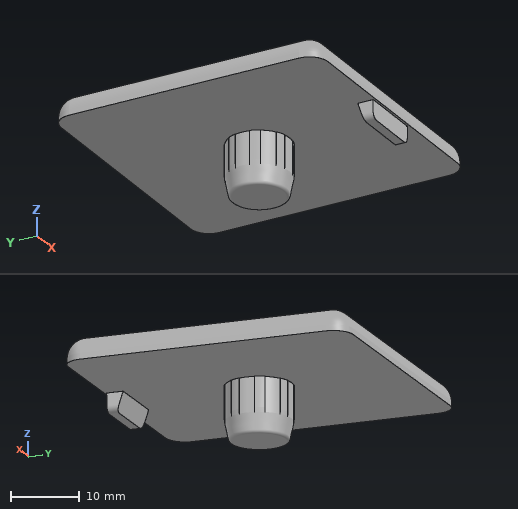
import cadquery as cq

PLATE_SIDE = 45.0
PLATE_THICKNESS = 4.0
PLATE_ROUNDING = 3.1

PLUG_RADIUS = 5.1
PLUG_LENGTH = 8.5
PLUG_STRAIGHT_LENGTH = 5.5
PLUG_TIP_RADIUS = 4.5
TIP_ROUNDING = 0.55

RIB_COUNT = 8
RIB_WIDTH = 1.6
RIB_HEIGHT = 0.08
RIB_LEAD_IN = 0.7
RIB_START_ANGLE = 360 / RIB_COUNT / 2
RIB_STRIP_DEPTH = 1.0

TAB_WIDTH = 2 * PLUG_RADIUS
TAB_HEIGHT = 3.0
TAB_EDGE_INSET = 0.4
TAB_ROOT_THICKNESS = 2.6
TAB_TIP_THICKNESS = 1.6
TAB_CORNER_RADIUS = 1.0


def make_plate():
    return (
        cq.Workplane("XY")
        .rect(PLATE_SIDE, PLATE_SIDE)
        .extrude(PLATE_THICKNESS)
        .edges("|Z or >Z")
        .fillet(PLATE_ROUNDING)
    )


def make_plug():
    """Revolve the half section, drawn on the -Y side, about Z."""
    return (
        cq.Workplane("YZ")
        .moveTo(0, 0)
        .lineTo(-PLUG_RADIUS, 0)
        .lineTo(-PLUG_RADIUS, -PLUG_STRAIGHT_LENGTH)
        .lineTo(-PLUG_TIP_RADIUS, -PLUG_LENGTH)
        .lineTo(0, -PLUG_LENGTH)
        .close()
        .revolve(360, (0, 0, 0), (0, 1, 0))
        .faces("<Z")
        .edges()
        .fillet(TIP_ROUNDING)
    )


def make_ribs():
    """Turn a sleeve about Z and keep only the strips of it where the ribs stand."""
    crest_radius = PLUG_RADIUS + RIB_HEIGHT
    sleeve = (
        cq.Workplane("YZ")
        .moveTo(0, 0)
        .lineTo(-crest_radius, 0)
        .lineTo(-crest_radius, RIB_LEAD_IN - PLUG_STRAIGHT_LENGTH)
        .lineTo(-PLUG_RADIUS, -PLUG_STRAIGHT_LENGTH)
        .lineTo(0, -PLUG_STRAIGHT_LENGTH)
        .close()
        .revolve(360, (0, 0, 0), (0, 1, 0))
    )
    strips = (
        cq.Workplane("XY")
        .polarArray(PLUG_RADIUS, RIB_START_ANGLE, 360, RIB_COUNT)
        .rect(RIB_STRIP_DEPTH, RIB_WIDTH)
        .extrude(-PLUG_STRAIGHT_LENGTH)
    )
    return sleeve.intersect(strips)


def make_tab():
    outer_y = TAB_EDGE_INSET - PLATE_SIDE / 2
    return (
        cq.Workplane("YZ")
        .moveTo(outer_y, 0)
        .lineTo(outer_y, -TAB_HEIGHT)
        .lineTo(outer_y + TAB_TIP_THICKNESS, -TAB_HEIGHT)
        .lineTo(outer_y + TAB_ROOT_THICKNESS, 0)
        .close()
        .extrude(TAB_WIDTH / 2, both=True)
        .faces("<Z")
        .edges("|Y")
        .fillet(TAB_CORNER_RADIUS)
    )


result = make_plate().union(make_plug()).union(make_ribs()).union(make_tab())